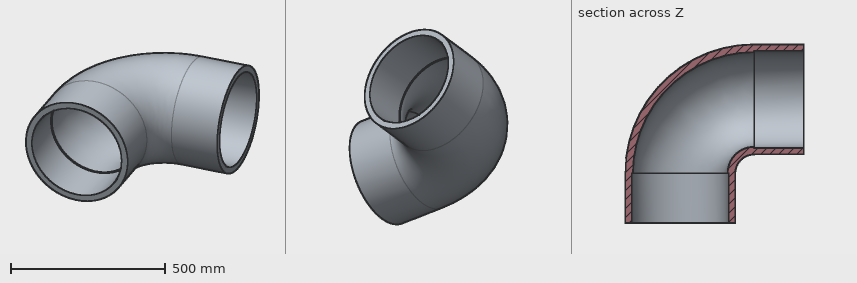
import cadquery as cq

overall_size = 580.0
outer_diameter = 358.0
socket_bore_diameter = 315.0
bend_bore_diameter = 307.0
socket_length = 161.0

outer_radius = outer_diameter / 2
bend_radius = overall_size - socket_length - outer_radius


def straight_ends(diameter):
    """Two cylinders running outward from the ends of the bend."""
    front_end = cq.Workplane("XZ").circle(diameter / 2).extrude(socket_length)
    side_end = (
        cq.Workplane("YZ", origin=(bend_radius, bend_radius, 0))
        .circle(diameter / 2)
        .extrude(socket_length)
    )
    return front_end.add(side_end).combine()


def quarter_bend(diameter):
    """Quarter torus from the front end to the side end."""
    return (
        cq.Workplane("XZ")
        .circle(diameter / 2)
        .revolve(90, (bend_radius, 0, 0), (bend_radius, -1, 0))
    )


body = quarter_bend(outer_diameter).union(straight_ends(outer_diameter), clean=False)
result = (
    body
    .cut(quarter_bend(bend_bore_diameter))
    .cut(straight_ends(socket_bore_diameter))
)